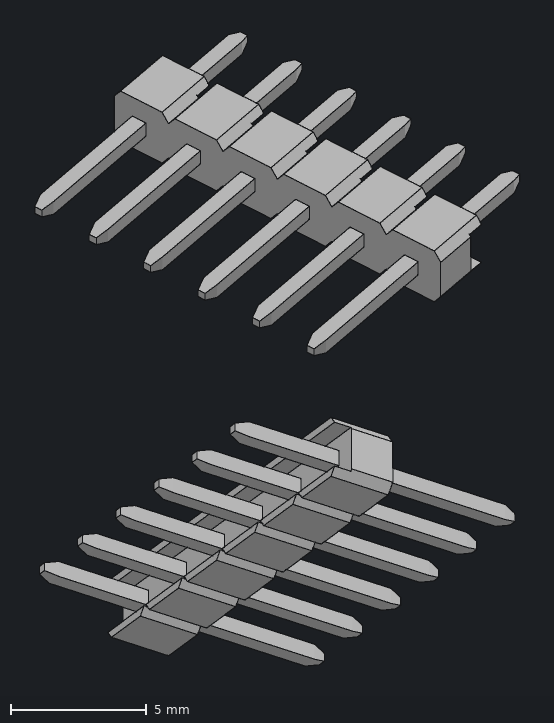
import cadquery as cq

pin_count = 6
pitch = 2.54

housing_length = pin_count * pitch
housing_height = 2.5
housing_depth = 2.54
bevel_width = 0.3
bevel_height = 0.4
recess_depth = 0.72
lip_thickness = 0.325
recess_height = housing_height - 2 * lip_thickness

pin_length = 12.4
pin_width = 0.64
tip_width = 0.34
tip_length = 0.53
pin_shift = -0.1
front_reach = 6.08

pin_front = -pin_length / 2
housing_front = pin_front + front_reach
housing_back = housing_front + housing_depth


def cell_center(index):
    """X position of the middle of one housing cell."""
    return (index - (pin_count - 1) / 2) * pitch


def plane_facing_back(x, y):
    """Work plane at (x, y) with local axes X and Z and its normal along +Y."""
    return cq.Workplane(cq.Plane(origin=(x, y, 0), xDir=(-1, 0, 0), normal=(0, 1, 0)))


def make_cell(index):
    """Octagonal block around one pin; neighbouring bevels form the V-notches."""
    side = pitch / 2
    top = housing_height / 2
    flat_side = side - bevel_width
    flat_top = top - bevel_height
    outline = [
        (-side, -flat_top),
        (-flat_side, -top),
        (flat_side, -top),
        (side, -flat_top),
        (side, flat_top),
        (flat_side, top),
        (-flat_side, top),
        (-side, flat_top),
    ]
    return plane_facing_back(cell_center(index), housing_front).polyline(outline).close().extrude(housing_depth)


def make_rear_channel():
    """Channel along the whole housing back, leaving an upper and a lower lip."""
    channel = cq.Workplane("XY").box(housing_length, recess_depth, recess_height)
    return channel.translate((0, housing_back - recess_depth / 2, 0))


def make_tip(x, base_y, direction):
    """Tapered pin end starting at base_y and pointing along +Y (1) or -Y (-1)."""
    return (
        plane_facing_back(x, base_y)
        .rect(pin_width, pin_width)
        .workplane(offset=direction * tip_length)
        .rect(tip_width, tip_width)
        .loft(ruled=True)
    )


def make_pin(index):
    """One square pin with a tapered tip at each end."""
    x = cell_center(index) + pin_shift
    shaft_end = pin_length / 2 - tip_length
    shaft = plane_facing_back(x, -shaft_end).rect(pin_width, pin_width).extrude(2 * shaft_end)
    return shaft.union(make_tip(x, shaft_end, 1)).union(make_tip(x, -shaft_end, -1))


housing = make_cell(0)
for cell in range(1, pin_count):
    housing = housing.union(make_cell(cell))
housing = housing.cut(make_rear_channel())

result = housing
for cell in range(pin_count):
    result = result.union(make_pin(cell))
result = result.clean()